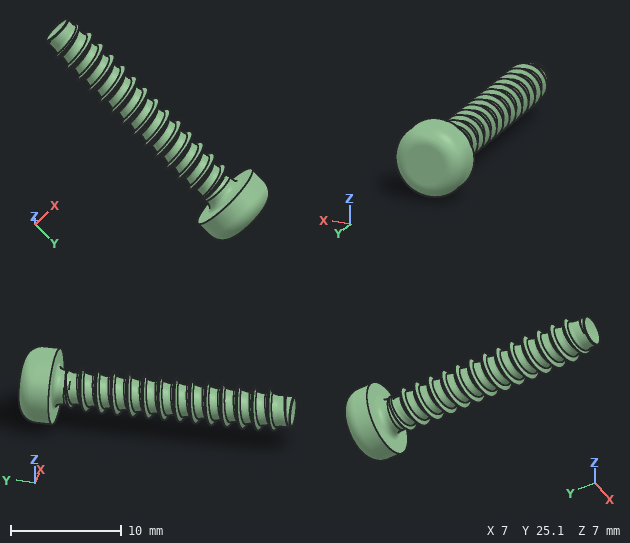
import cadquery as cq
import math

LENGTH = 25.1
HEAD_DIAMETER = 7.0
HEAD_HEIGHT = 3.05
NECK_DIAMETER = 3.15
NECK_LENGTH = 1.0
NECK_TAPER_LENGTH = 0.45
NECK_FILLET = 0.6
CORE_DIAMETER = 2.85
TIP_CHAMFER = 0.08
TIP_DISH_DEPTH = 0.1

head_top = LENGTH / 2
head_base = head_top - HEAD_HEIGHT
neck_end = head_base - NECK_LENGTH
tip_end = head_top - LENGTH
head_radius = HEAD_DIAMETER / 2
neck_radius = NECK_DIAMETER / 2
core_radius = CORE_DIAMETER / 2
tip_rim_radius = core_radius - TIP_CHAMFER
dome_radius = HEAD_HEIGHT / 2

PITCH = 1.45
THREAD_DIAMETER = 4.05
FIRST_CREST_DROP = 0.9
LEAD_IN_START = -0.08
LEAD_IN_END = 0.8
RUN_OUT_START = 13.1
RUN_OUT_END = 14.4
LEAD_IN_SCALE = 0.26
RUN_OUT_SCALE = 0.04
POINTS_PER_TURN = 24

CREST_HALF_WIDTH = 0.03
FLANK_HALF_WIDTH = 0.23
FLANK_FOOT_RADIUS = 1.55
HEAD_SIDE_REACH = 0.48
TIP_SIDE_REACH = 0.95
ROOT_DEPTH = 0.038

root_radius = core_radius - ROOT_DEPTH
crest_height = THREAD_DIAMETER / 2 - root_radius
flank_foot_height = FLANK_FOOT_RADIUS - root_radius

thread_section = [
    (-HEAD_SIDE_REACH, 0),
    (-FLANK_HALF_WIDTH, flank_foot_height),
    (-CREST_HALF_WIDTH, crest_height),
    (CREST_HALF_WIDTH, crest_height),
    (FLANK_HALF_WIDTH, flank_foot_height),
    (TIP_SIDE_REACH, 0),
]


def make_body():
    """Head, filleted and tapered neck, core and dished tip as one revolved outline."""
    diagonal = math.sqrt(0.5)
    dish_radius = (tip_rim_radius**2 + TIP_DISH_DEPTH**2) / (2 * TIP_DISH_DEPTH)
    dish_half_angle = math.asin(tip_rim_radius / dish_radius) / 2
    dish_midpoint = (
        dish_radius * math.sin(dish_half_angle),
        tip_end + TIP_DISH_DEPTH - dish_radius * (1 - math.cos(dish_half_angle)),
    )
    return (
        cq.Workplane("XY")
        .moveTo(0, head_top)
        .lineTo(head_radius - dome_radius, head_top)
        .threePointArc(
            (head_radius - dome_radius * (1 - diagonal), head_top - dome_radius * (1 - diagonal)),
            (head_radius, head_top - dome_radius),
        )
        .lineTo(head_radius, head_base)
        .lineTo(neck_radius + NECK_FILLET, head_base)
        .threePointArc(
            (neck_radius + NECK_FILLET * (1 - diagonal), head_base - NECK_FILLET * (1 - diagonal)),
            (neck_radius, head_base - NECK_FILLET),
        )
        .lineTo(neck_radius, neck_end)
        .lineTo(core_radius, neck_end - NECK_TAPER_LENGTH)
        .lineTo(core_radius, tip_end + TIP_CHAMFER)
        .lineTo(tip_rim_radius, tip_end)
        .threePointArc(dish_midpoint, (0, tip_end + TIP_DISH_DEPTH))
        .close()
        .revolve(360, (0, 0, 0), (0, 1, 0))
    )


def section_scale(turn):
    """Relative size of the thread section, growing at the neck and fading at the tip."""
    if turn < LEAD_IN_END:
        progress = (turn - LEAD_IN_START) / (LEAD_IN_END - LEAD_IN_START)
        return LEAD_IN_SCALE + (1 - LEAD_IN_SCALE) * progress
    if turn > RUN_OUT_START:
        progress = (turn - RUN_OUT_START) / (RUN_OUT_END - RUN_OUT_START)
        return 1 + (RUN_OUT_SCALE - 1) * progress
    return 1.0


def corner_point(corner, turn):
    """Position of one section corner after the given number of turns."""
    towards_tip, height = corner
    scale = section_scale(turn)
    radius = root_radius + scale * height
    angle = 2 * math.pi * turn
    y = head_base - FIRST_CREST_DROP - PITCH * turn - scale * towards_tip
    return cq.Vector(-radius * math.sin(angle), y, radius * math.cos(angle))


def corner_helix(corner, start, end):
    steps = math.ceil((end - start) * POINTS_PER_TURN)
    turns = [start + (end - start) * i / steps for i in range(steps + 1)]
    return cq.Edge.makeSpline([corner_point(corner, turn) for turn in turns])


def end_cap(turn):
    corners = [corner_point(corner, turn) for corner in thread_section]
    return cq.Face.makeFromWires(cq.Wire.makePolygon(corners, close=True))


def make_thread():
    """Closed solid between the helices that the section corners follow."""
    faces = [end_cap(LEAD_IN_START), end_cap(RUN_OUT_END)]
    stretches = [
        (LEAD_IN_START, LEAD_IN_END),
        (LEAD_IN_END, RUN_OUT_START),
        (RUN_OUT_START, RUN_OUT_END),
    ]
    for start, end in stretches:
        helices = [corner_helix(corner, start, end) for corner in thread_section]
        for i, helix in enumerate(helices):
            faces.append(cq.Face.makeRuledSurface(helices[i - 1], helix))
    return cq.Solid.makeSolid(cq.Shell.makeShell(faces))


result = make_body().union(cq.Workplane(obj=make_thread()))